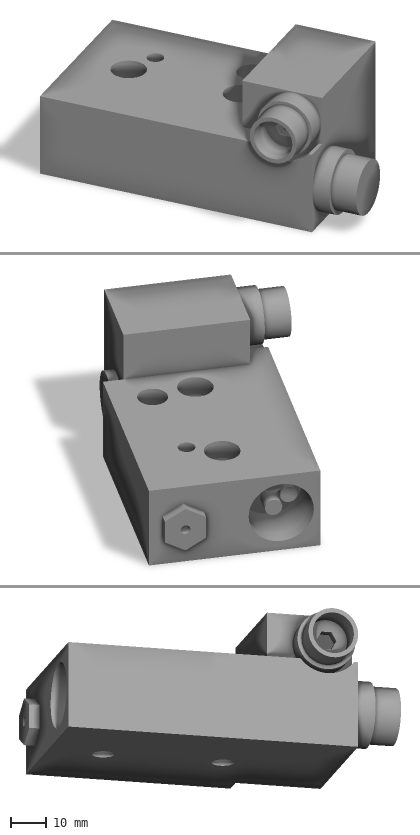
import cadquery as cq
import math

block_length = 84.9
block_width = 50.0
block_height = 25.0
mid_height = block_height / 2

head_length = 24.9
head_height = 14.9
head_back_setback = 6.0
head_width = 37.0
head_left = block_length - head_length
head_back = block_width - head_back_setback
head_front = head_back - head_width

head_connector_x = 76.0
head_connector_z = 31.2
head_collar_diameter = 17.0
head_collar_length = 6.0
head_sleeve_diameter = 14.5
head_sleeve_length = 8.1
head_sleeve_bore = 12.0
relief_diameter = 20.0
hex_socket_flats = 5
hex_socket_depth = 3

end_connector_y = 10.0
end_collar_diameter = 19.2
end_collar_length = 5.3
end_sleeve_diameter = 16.6
end_sleeve_length = 7.8

bore_y = 11.4
bore_diameter = 19.0
bore_depth = 15.0
pin_diameter = 5
pin_tip_depth = 9.0
pin_pair_y = 11.6
pin_pair_spacing = 7.5
single_pin_y = 7.2

nut_y = 40.0
nut_flats = 12.0
nut_height = 3
nut_hole_diameter = 2.8

mounting_hole_xs = (16.5, 51.5)
mounting_hole_y = 24.9
mounting_hole_diameter = 6.4
counterbore_diameter = 10.4
counterbore_depth = 5.7
small_hole_place = (20.5, 34.4)
small_hole_diameter = 5
large_hole_place = (49.0, 38.0)
large_hole_diameter = 8.8
blind_hole_depth = 10.1

back_plug_x = 68.9
back_plug_diameter = 18.0
back_plug_length = 2.9

ALONG_X = (1, 0, 0)
ALONG_Y = (0, 1, 0)
TOWARD_FRONT = (0, -1, 0)
DOWN = (0, 0, -1)


def box(length, width, height, corner):
    return cq.Workplane("XY").box(length, width, height, centered=False).translate(corner)


def cylinder(diameter, length, start, direction):
    solid = cq.Solid.makeCylinder(diameter / 2, length, cq.Vector(*start), cq.Vector(*direction))
    return cq.Workplane(obj=solid)


def hex_prism(flats, length, start, corner_direction, direction):
    """Hexagonal prism with two of its corners along corner_direction."""
    plane = cq.Plane(origin=start, xDir=corner_direction, normal=direction)
    across_corners = flats / math.cos(math.pi / 6)
    return cq.Workplane(plane).polygon(6, across_corners).extrude(length)


def make_blocks():
    block = box(block_length, block_width, block_height, (0, 0, 0))
    step = box(head_length, head_back_setback, block_height, (head_left, head_back, 0))
    head = box(head_length, head_width, head_height, (head_left, head_front, block_height))
    return block.cut(step).union(head)


def add_head_connector(body):
    collar_start = (head_connector_x, head_front, head_connector_z)
    collar_end = head_front - head_collar_length
    sleeve_start = (head_connector_x, collar_end, head_connector_z)
    body = body.cut(cylinder(relief_diameter, head_front, collar_start, TOWARD_FRONT))
    body = body.union(cylinder(head_collar_diameter, head_collar_length, collar_start, TOWARD_FRONT))
    body = body.union(cylinder(head_sleeve_diameter, head_sleeve_length, sleeve_start, TOWARD_FRONT))
    body = body.cut(cylinder(head_sleeve_bore, head_sleeve_length, sleeve_start, TOWARD_FRONT))
    return body.cut(hex_prism(hex_socket_flats, hex_socket_depth, sleeve_start, ALONG_X, ALONG_Y))


def add_end_connector(body):
    collar_start = (block_length, end_connector_y, mid_height)
    sleeve_start = (block_length + end_collar_length, end_connector_y, mid_height)
    body = body.union(cylinder(end_collar_diameter, end_collar_length, collar_start, ALONG_X))
    return body.union(cylinder(end_sleeve_diameter, end_sleeve_length, sleeve_start, ALONG_X))


def add_pin_socket(body):
    body = body.cut(cylinder(bore_diameter, bore_depth, (0, bore_y, mid_height), ALONG_X))
    pin_length = bore_depth - pin_tip_depth
    pins = (
        (pin_pair_y, mid_height + pin_pair_spacing / 2),
        (pin_pair_y, mid_height - pin_pair_spacing / 2),
        (single_pin_y, mid_height),
    )
    for y, z in pins:
        body = body.union(cylinder(pin_diameter, pin_length, (pin_tip_depth, y, z), ALONG_X))
    return body


def add_nut(body):
    outer_face = (-nut_height, nut_y, mid_height)
    body = body.union(hex_prism(nut_flats, nut_height, outer_face, (0, 0, 1), ALONG_X))
    return body.cut(cylinder(nut_hole_diameter, nut_height, outer_face, ALONG_X))


def cut_top_holes(body):
    for x in mounting_hole_xs:
        top = (x, mounting_hole_y, block_height)
        body = body.cut(cylinder(mounting_hole_diameter, block_height, top, DOWN))
        body = body.cut(cylinder(counterbore_diameter, counterbore_depth, top, DOWN))
    blind_holes = (
        (small_hole_place, small_hole_diameter),
        (large_hole_place, large_hole_diameter),
    )
    for (x, y), diameter in blind_holes:
        body = body.cut(cylinder(diameter, blind_hole_depth, (x, y, block_height), DOWN))
    return body


def add_back_plug(body):
    start = (back_plug_x, head_back, mid_height)
    return body.union(cylinder(back_plug_diameter, back_plug_length, start, ALONG_Y))


result = make_blocks()
result = add_head_connector(result)
result = add_end_connector(result)
result = add_pin_socket(result)
result = add_nut(result)
result = cut_top_holes(result)
result = add_back_plug(result)